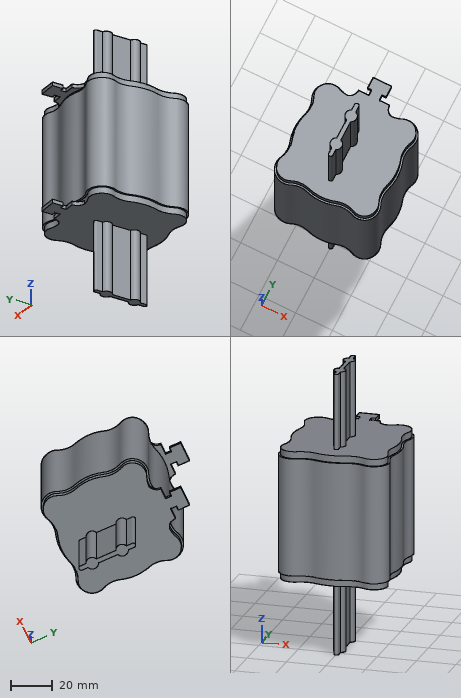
import cadquery as cq
import math

body_side = 56.0
body_height = 60.0
cap_height = 3.5
cap_inset = 1.0
end_face_z = body_height / 2 + cap_height

corner_radius = 7.9
bulge_radius = 25.0
hollow_radius = 12.2

overall_height = 144.0
blade_width = 30.1
blade_thickness = 2.3
blade_tip_bulge = 1.0
blade_y = -2.7
rib_radius = 3.0
rib_spacing = 16.0

overall_depth = 67.0
lug_thickness = 2.0
lug_tip_y = overall_depth - body_side / 2
head_width = 10.1
head_length = 6.0
neck_width = 5.8
neck_length = 3.0
root_width = 16.8
root_flare_radius = 4.9


def point_between(start, end, distance):
    """Point at the given distance from start on the way to end."""
    ratio = distance / math.dist(start, end)
    return (start[0] + (end[0] - start[0]) * ratio, start[1] + (end[1] - start[1]) * ratio)


def quarter_turns(point, turns):
    """Point rotated about the origin by a number of 90 degree steps."""
    x, y = point
    for _ in range(turns):
        x, y = -y, x
    return (x, y)


def wavy_block(inset, height):
    """Square block with a wavy outline of tangent arcs, shrunk evenly by inset, centred on the origin."""
    half_side = body_side / 2
    corner_center = (half_side - corner_radius, half_side - corner_radius)
    bulge_center = (0, half_side - bulge_radius)

    span = math.dist(bulge_center, corner_center)
    to_bulge = bulge_radius + hollow_radius
    to_corner = corner_radius + hollow_radius
    along = (to_bulge**2 - to_corner**2 + span**2) / (2 * span)
    across = math.sqrt(to_bulge**2 - along**2)
    ux = (corner_center[0] - bulge_center[0]) / span
    uy = (corner_center[1] - bulge_center[1]) / span
    hollow_center = (
        bulge_center[0] + along * ux - across * uy,
        bulge_center[1] + along * uy + across * ux,
    )

    diagonal = (corner_radius - inset) / math.sqrt(2)
    corner_mid = (corner_center[0] + diagonal, corner_center[1] + diagonal)
    corner_end = point_between(corner_center, hollow_center, corner_radius - inset)
    hollow_mid = (hollow_center[0], hollow_center[1] - hollow_radius - inset)
    bulge_start = point_between(bulge_center, hollow_center, bulge_radius - inset)
    bulge_mid = (0, half_side - inset)

    def mirrored(point):
        return (-point[0], point[1])

    outline = cq.Workplane("XY").moveTo(*corner_end)
    for turns in range(4):
        arcs = [
            (hollow_mid, bulge_start),
            (bulge_mid, mirrored(bulge_start)),
            (mirrored(hollow_mid), mirrored(corner_end)),
            (mirrored(corner_mid), quarter_turns(corner_end, 1)),
        ]
        for middle, end in arcs:
            outline = outline.threePointArc(quarter_turns(middle, turns), quarter_turns(end, turns))
    return outline.close().extrude(height / 2, both=True)


def contact_blades():
    """Round-edged blade with two round ribs, running through the full height."""
    plane = cq.Workplane("XY").center(0, blade_y)
    half_thickness = blade_thickness / 2
    flat_end_y = blade_width / 2 - blade_tip_bulge
    blade = (
        plane.moveTo(-half_thickness, -flat_end_y)
        .threePointArc((0, -blade_width / 2), (half_thickness, -flat_end_y))
        .lineTo(half_thickness, flat_end_y)
        .threePointArc((0, blade_width / 2), (-half_thickness, flat_end_y))
        .close()
        .extrude(overall_height / 2, both=True)
    )
    rib_centers = [(0, -rib_spacing / 2), (0, rib_spacing / 2)]
    ribs = plane.pushPoints(rib_centers).circle(rib_radius).extrude(overall_height / 2, both=True)
    return blade.union(ribs)


def gripping_lug(bottom_z):
    """T-shaped lug whose root flares into the cap."""
    head_y = lug_tip_y - head_length
    root_y = head_y - neck_length
    flare_y = root_y - root_flare_radius
    flare_x = root_width / 2 + root_flare_radius
    return (
        cq.Workplane("XY", origin=(0, 0, bottom_z))
        .moveTo(-flare_x, 0)
        .lineTo(-flare_x, flare_y)
        .radiusArc((-root_width / 2, root_y), -root_flare_radius)
        .lineTo(-neck_width / 2, root_y)
        .lineTo(-neck_width / 2, head_y)
        .lineTo(-head_width / 2, head_y)
        .lineTo(-head_width / 2, lug_tip_y)
        .lineTo(head_width / 2, lug_tip_y)
        .lineTo(head_width / 2, head_y)
        .lineTo(neck_width / 2, head_y)
        .lineTo(neck_width / 2, root_y)
        .lineTo(root_width / 2, root_y)
        .radiusArc((flare_x, flare_y), -root_flare_radius)
        .lineTo(flare_x, 0)
        .close()
        .extrude(lug_thickness)
    )


body = wavy_block(0, body_height)
caps = wavy_block(cap_inset, 2 * end_face_z)
result = body.union(caps).union(contact_blades())
for lug_bottom_z in (-end_face_z, end_face_z - lug_thickness):
    result = result.union(gripping_lug(lug_bottom_z))